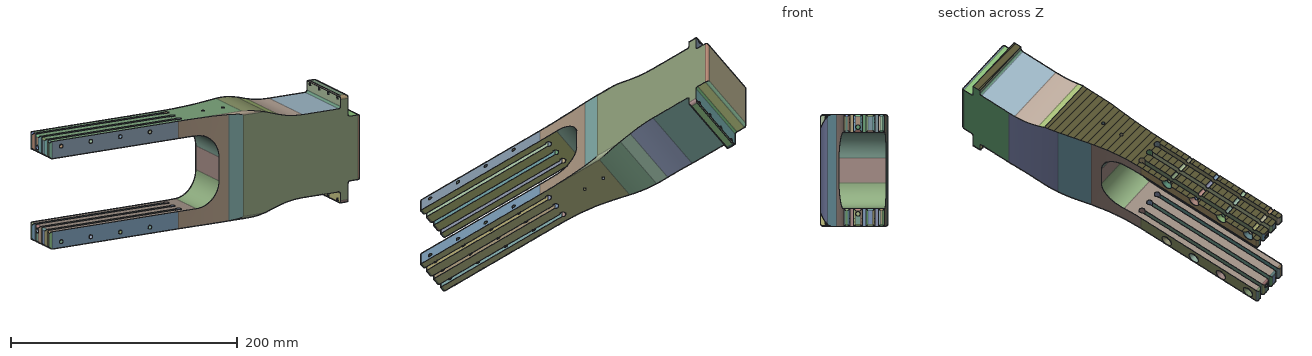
import cadquery as cq
import math

length = 313.5
width = 60.0
height = 99.0
edge_radius = 2.98

shank_height = 76.5
tongue_height = 59.5
flange_front = 293.3
flange_back = 301.0
flange_root_radius = 2.0
flange_edge_chamfer = 1.0
tongue_edge_radius = 2.5
flange_hole_diameter = 2.5
flange_hole_count = 4
flange_hole_pitch = 16.3
flange_hole_height = 46.7

flare_end = 194.5
flare_radius = 80.0
flare_angle = math.radians(18)

taper_end = 130.2
taper_radius = 200.0
taper_angle = math.radians(14.5)

blend_radius = 627.3

finger_count = 4
finger_pitch = 11.0
slot_width = 3.0
slot_start = 134.2
keyhole_diameter = 5.0
arms_left = 20.7
arms_right = 56.8
arms_center = (arms_left + arms_right) / 2
tip_edge_radius = 2.0

opening_depth = 170.5
opening_height = 67.0
opening_radius = 22.5

cross_hole_diameter = 3.5
countersink_diameter = 10.5
countersink_angle = 90
cross_hole_count = 4
cross_hole_pitch = 30.0
first_cross_hole = 11.0
cross_hole_height = 44.0

pin_hole_diameter = 2.5
pin_hole_places = (185.7, 165.5)
pin_hole_depth = 9.5
tip_hole_diameter = 4.0
tip_hole_height = 38.3
tip_hole_depth = 31.5

margin = 3.0


def both_sides(tool):
    """Add the mirror image of a tool below the XY plane."""
    return tool.union(tool.mirror("XY"))


def arc_mid(radius, angle):
    """Advance and offset of the middle of an arc that starts tangent to the Y axis."""
    return radius * math.sin(angle / 2), radius * (1 - math.cos(angle / 2))


def s_curve(rise, radius, angle):
    """Advance along Y and offset of the S-curve points: mid, end, start, mid and end of its arcs."""
    arc_advance = radius * math.sin(angle)
    arc_rise = radius * (1 - math.cos(angle))
    mid_advance, mid_rise = arc_mid(radius, angle)
    total = 2 * arc_advance + (rise - 2 * arc_rise) / math.tan(angle)
    return [
        (mid_advance, mid_rise),
        (arc_advance, arc_rise),
        (total - arc_advance, rise - arc_rise),
        (total - mid_advance, rise - mid_rise),
        (total, rise),
    ]


def envelope():
    """Full-length bar with rounded long edges."""
    bar = cq.Workplane("XY").box(width, length, height, centered=(False, False, True))
    return bar.edges("|Y").fillet(edge_radius)


def side_profile():
    """Outline seen along X: arms, flare, shank, flange and tongue."""
    top = height / 2
    shank = shank_height / 2
    tongue = tongue_height / 2
    curve = [(flare_end + y, top - z) for y, z in s_curve(top - shank, flare_radius, flare_angle)]
    upper = (
        cq.Workplane("YZ")
        .lineTo(0, top)
        .lineTo(flare_end, top)
        .threePointArc(curve[0], curve[1])
        .lineTo(*curve[2])
        .threePointArc(curve[3], curve[4])
        .lineTo(flange_front, shank)
        .lineTo(flange_front, top - flange_edge_chamfer)
        .lineTo(flange_front + flange_edge_chamfer, top)
        .lineTo(flange_back - flange_edge_chamfer, top)
        .lineTo(flange_back, top - flange_edge_chamfer)
        .lineTo(flange_back, tongue)
        .lineTo(length, tongue)
        .lineTo(length, 0)
        .close()
        .extrude(width)
    )
    roots = cq.selectors.BoxSelector(
        (-margin, flange_front - margin, tongue - margin),
        (width + margin, flange_back + margin, shank + margin),
    )
    upper = upper.edges("|X").edges(roots).fillet(flange_root_radius)
    return both_sides(upper)


def plan_profile():
    """Outline seen along Z: wide shank narrowing to the arms."""
    blend_start = taper_end + taper_radius * math.sin(taper_angle)
    blend_angle = math.asin((blend_start - taper_end) / blend_radius)
    blend_rise = blend_radius * (1 - math.cos(blend_angle))
    blend_end = blend_start + (width - arms_right - blend_rise) / math.tan(blend_angle)
    mid_advance, mid_rise = arc_mid(blend_radius, blend_angle)
    curve = [(arms_left - x, taper_end + y) for y, x in s_curve(arms_left, taper_radius, taper_angle)]
    return (
        cq.Workplane("XY", origin=(0, 0, -height / 2))
        .moveTo(arms_left, 0)
        .lineTo(arms_left, taper_end)
        .threePointArc(curve[0], curve[1])
        .lineTo(*curve[2])
        .threePointArc(curve[3], curve[4])
        .lineTo(0, length)
        .lineTo(width, length)
        .lineTo(width, blend_end)
        .lineTo(arms_right + blend_rise, blend_start)
        .threePointArc((arms_right + mid_rise, taper_end + mid_advance), (arms_right, taper_end))
        .lineTo(arms_right, 0)
        .close()
        .extrude(height)
    )


def arm_opening():
    """Open-ended gap between the two arms with rounded inner corners."""
    gap = cq.Workplane("XY").box(
        width, opening_depth + margin, opening_height, centered=(False, False, True)
    )
    return gap.edges("|X and >Y").fillet(opening_radius).translate((0, -margin, 0))


def finger_slots():
    """Slots that split each arm into fingers, each ending in a round keyhole."""
    slots = cq.Workplane("XY")
    for i in range(finger_count - 1):
        x = arms_center + (i - (finger_count - 2) / 2) * finger_pitch
        slot = cq.Workplane("XY").box(slot_width, slot_start + margin, height, centered=(True, False, True))
        keyhole = cq.Workplane("XY").circle(keyhole_diameter / 2).extrude(height / 2, both=True)
        slots = slots.union(slot.translate((x, -margin, 0)))
        slots = slots.union(keyhole.translate((x, slot_start, 0)))
    return slots


def cross_holes():
    """Holes across all fingers, countersunk on the -X side."""
    places = [(first_cross_hole + i * cross_hole_pitch, cross_hole_height) for i in range(cross_hole_count)]
    plane = cq.Workplane("YZ", origin=(arms_left, 0, 0))
    holes = plane.pushPoints(places).circle(cross_hole_diameter / 2).extrude(width)
    sink_depth = countersink_diameter / 2 / math.tan(math.radians(countersink_angle / 2))
    cone = cq.Solid.makeCone(countersink_diameter / 2, 0, sink_depth, dir=cq.Vector(1, 0, 0))
    for y, z in places:
        holes = holes.union(cq.Workplane(cone.translate(cq.Vector(arms_left, y, z))))
    return both_sides(holes)


def pin_holes():
    """Blind pin holes into the outer face of each arm, ahead of the slots."""
    places = [(arms_center, y) for y in pin_hole_places]
    plane = cq.Workplane("XY", origin=(0, 0, height / 2))
    return both_sides(plane.pushPoints(places).circle(pin_hole_diameter / 2).extrude(-pin_hole_depth))


def tip_holes():
    """Blind hole into the tip of the second finger of each arm."""
    plane = cq.Workplane("XZ", origin=(arms_center - finger_pitch / 2, 0, tip_hole_height))
    return both_sides(plane.circle(tip_hole_diameter / 2).extrude(-tip_hole_depth))


def flange_holes():
    """Row of holes through the flange above and below the shank."""
    plane = cq.Workplane("XZ", origin=(width / 2, flange_front, flange_hole_height))
    row = plane.rarray(flange_hole_pitch, 3, flange_hole_count, 1).circle(flange_hole_diameter / 2)
    return both_sides(row.extrude(flange_front - flange_back))


body = envelope().intersect(side_profile()).intersect(plan_profile())
body = body.cut(arm_opening()).cut(finger_slots())
body = body.faces(">Y").edges().fillet(tongue_edge_radius)
body = body.faces("<Y").edges().fillet(tip_edge_radius)
for tool in (cross_holes(), pin_holes(), tip_holes(), flange_holes()):
    body = body.cut(tool)

result = body